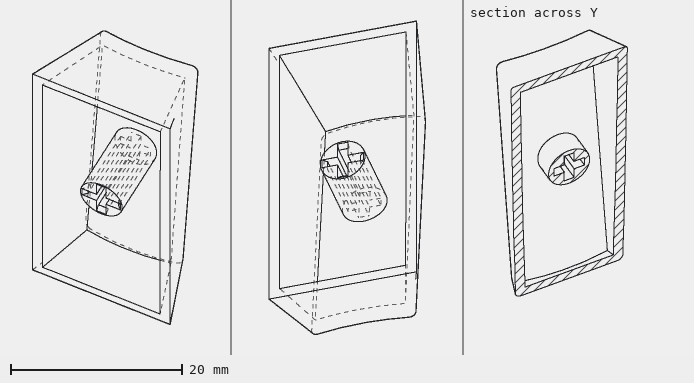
import cadquery as cq
import math

skirt_width = 18.0
skirt_height = 37.15

top_width = 12.75
upper_edge_y, upper_edge_z = 12.55, 14.4
lower_edge_y, lower_edge_z = 8.47, -18.35

top_corner_radius = 0.93
skirt_corner_radius = 0.007

dish_depth = 0.67
wall = 1.25

stem_diameter = 5.45
socket_span = 3.98
upright_arm_width = 1.25
level_arm_width = 1.15
lead_in = 0.52

top_rise = upper_edge_z - lower_edge_z
top_lean = upper_edge_y - lower_edge_y
top_length = math.hypot(top_rise, top_lean)
top_center = (0, (upper_edge_y + lower_edge_y) / 2, (upper_edge_z + lower_edge_z) / 2)
top_plane = cq.Plane(origin=top_center, xDir=(1, 0, 0), normal=(0, top_rise, -top_lean))
skirt_plane = cq.Plane(origin=(0, 0, 0), xDir=(1, 0, 0), normal=(0, 1, 0))

dish_radius = ((top_width / 2) ** 2 + dish_depth**2) / (2 * dish_depth)


def rectangle_wire(plane, width, height, corner_radius):
    """Closed rectangle centred on the plane, with rounded corners if a radius is given."""
    outline = cq.Sketch().rect(width, height)
    if corner_radius > 0:
        outline = outline.vertices().fillet(corner_radius)
    return outline.reset().faces().val().outerWire().moved(plane.location)


def tapered_block(skirt_radius, top_radius):
    """Solid block ruled from the skirt rectangle to the tilted top rectangle."""
    skirt = rectangle_wire(skirt_plane, skirt_width, skirt_height, skirt_radius)
    top = rectangle_wire(top_plane, top_width, top_length, top_radius)
    return cq.Workplane(cq.Solid.makeLoft([skirt, top], True))


def dish_cylinder(radius):
    """Cylinder lying along the top face, concentric with the dish."""
    return (
        cq.Workplane(top_plane)
        .transformed(rotate=(90, 0, 0))
        .center(0, dish_radius - dish_depth)
        .circle(radius)
        .extrude(skirt_height, both=True)
    )


def cavity():
    """Inside of the cap, one wall thickness away from the sides and the dished top."""
    block = tapered_block(0, 0)
    shell = block.faces("<Y").shell(-wall, kind="intersection")
    return block.cut(shell).cut(dish_cylinder(dish_radius + wall))


def socket_arm(width):
    """Slot along X whose ends flare outwards at the mouth."""
    half_span = socket_span / 2
    half_mouth = half_span + lead_in
    profile = [
        (-half_mouth, 0),
        (half_mouth, 0),
        (half_span, lead_in),
        (half_span, upper_edge_y),
        (-half_span, upper_edge_y),
        (-half_span, lead_in),
    ]
    return cq.Workplane("XY").polyline(profile).close().extrude(width / 2, both=True)


def stem():
    """Round post with the cross socket, long enough to reach through the top."""
    post = cq.Workplane(skirt_plane).circle(stem_diameter / 2).extrude(upper_edge_y)
    level_arm = socket_arm(level_arm_width)
    upright_arm = socket_arm(upright_arm_width).rotate((0, 0, 0), (0, 1, 0), 90)
    return post.cut(level_arm).cut(upright_arm)


cap = tapered_block(skirt_corner_radius, top_corner_radius).cut(dish_cylinder(dish_radius))
result = cap.cut(cavity().cut(stem()))